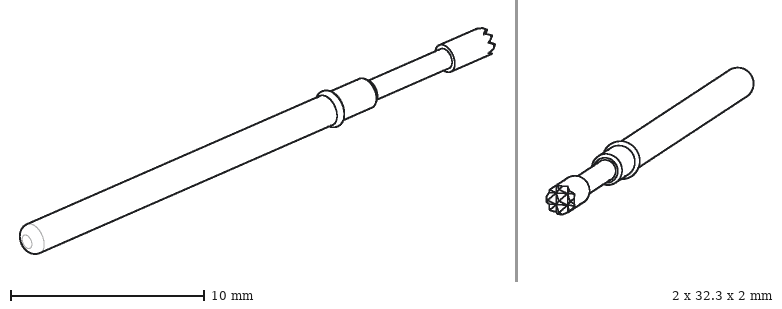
import cadquery as cq
import math

total_length = 32.3
tip_y = total_length / 2
tail_y = -total_length / 2

head_diameter = 1.52
head_length = 2.97
shaft_diameter = 1.1

barrel_diameter = 1.65
barrel_length = 24.0
mouth_chamfer_length = 0.23
mouth_chamfer_depth = 0.15
tail_fillet = 0.45

ring_diameter = 2.0
ring_width = 0.5
ring_to_tip = 11.05

tooth_pitch = 0.6
teeth_per_row = 3
groove_angle = 60.0
groove_depth = tooth_pitch / 2 / math.tan(math.radians(groove_angle / 2))


def cylinder(diameter, start_y, length):
    """Cylinder on the Y axis, growing from start_y towards +Y."""
    profile = cq.Workplane("XZ", origin=(0, start_y, 0)).circle(diameter / 2)
    return profile.extrude(-length)


def make_barrel():
    barrel = cylinder(barrel_diameter, tail_y, barrel_length)
    barrel = barrel.faces(">Y").chamfer(mouth_chamfer_length, mouth_chamfer_depth)
    return barrel.faces("<Y").fillet(tail_fillet)


def make_ring():
    """Bead with an arched section, revolved about the Y axis."""
    center_y = tip_y - ring_to_tip
    barrel_radius = barrel_diameter / 2
    section = (
        cq.Workplane("XY")
        .moveTo(0, center_y - ring_width / 2)
        .lineTo(barrel_radius, center_y - ring_width / 2)
        .threePointArc((ring_diameter / 2, center_y), (barrel_radius, center_y + ring_width / 2))
        .lineTo(0, center_y + ring_width / 2)
        .close()
    )
    return section.revolve(360, (0, 0, 0), (0, 1, 0))


def make_groove(center_x):
    """V-groove along Z across the tip, centred at center_x."""
    return (
        cq.Workplane("XY")
        .moveTo(center_x - tooth_pitch / 2, tip_y)
        .lineTo(center_x, tip_y - groove_depth)
        .lineTo(center_x + tooth_pitch / 2, tip_y)
        .close()
        .extrude(head_diameter, both=True)
    )


def make_head():
    """Tip cylinder with grooves on both sides of every row of teeth, along Z and along X."""
    head = cylinder(head_diameter, tip_y - head_length, head_length)
    for index in range(teeth_per_row + 1):
        groove = make_groove((index - teeth_per_row / 2) * tooth_pitch)
        head = head.cut(groove)
        head = head.cut(groove.rotate((0, 0, 0), (0, 1, 0), 90))
    return head


def make_shaft():
    """Shaft from halfway inside the solid barrel up to the head."""
    start_y = tail_y + barrel_length / 2
    return cylinder(shaft_diameter, start_y, tip_y - head_length - start_y)


result = make_barrel().union(make_ring()).union(make_shaft()).union(make_head())